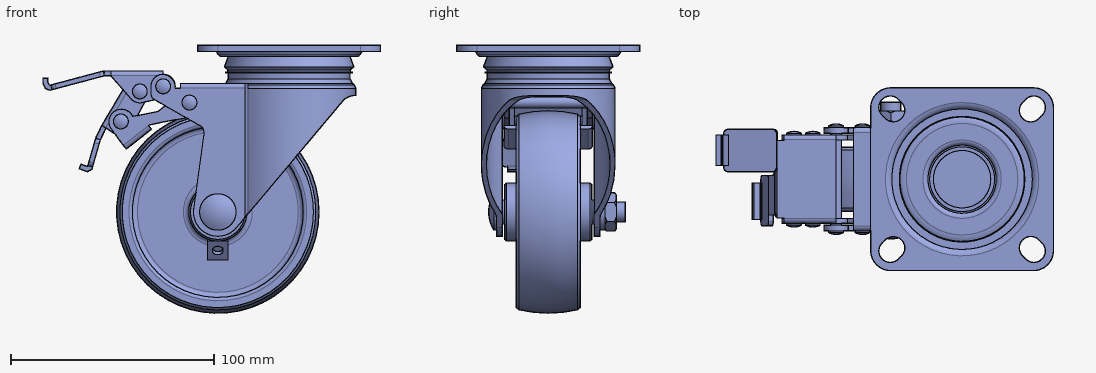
import cadquery as cq
import math


OVERALL_LENGTH = 166.2
AXLE_X = -35.0

PLATE_SIDE = 90.0
PLATE_THICKNESS = 3.2
PLATE_TOP_Z = 82.1
PLATE_CORNER_RADIUS = 10.0
BOLT_SPACING = 69.1
BOLT_SLOT_LENGTH = 13.3
BOLT_SLOT_WIDTH = 11.1
GROOVE_OUTER_RADIUS = 37.7
GROOVE_INNER_RADIUS = 27.5
GROOVE_SIDE_WIDTH = 3.2
GROOVE_LIP_DEPTH = 0.8
GROOVE_WALL_SLOPE = 0.3
GROOVE_DEPTH = 2.3
DISH_RADIUS = 35.9
DISH_EDGE_RADIUS = 35.0
DISH_EDGE_Z = 77.6
DISH_BOTTOM_RADIUS = 33.9
DISH_BOTTOM_Z = 76.5
RACE_TOP_RADIUS = 30.0
RACE_RADIUS = 31.9
RACE_RIM_Z = 71.5
RACE_NECK_Z = 70.0
RACE_BOTTOM_Z = 69.0
RACE_BOTTOM_RADIUS = 30.2
KINGPIN_RADIUS = 14.1
KINGPIN_HOLE_RADIUS = 16.8
KINGPIN_HOLE_ROUND = 2.5
KINGPIN_LIP_RADIUS = 16.0
KINGPIN_LIP_DEPTH = 0.7

FORK_INNER_Y = 22.6
FORK_OUTER_Y = 25.5
DECK_TOP_Z = 63.3
DECK_THICKNESS = 2.3
DECK_FRONT_X = -53.5
SHELL_RADIUS = 32.9
SHELL_START_X = -20.3
ARM_BACK_X = -21.8
SHELL_THICKNESS = 2.5
SHELL_SHOULDER_Z = 60.8
SHELL_RIDGE_RADIUS = 32.2
SHELL_RIDGE_Z = 62.5
SKIRT_DEPTH = 99.7
SHELL_BACK_Z = 57.3
SHELL_BACK_ROUND = (29.4, 56.7)
SHELL_BACK_NOTCH = (27.0, 55.2)
HEAD_BASE_RADIUS = 31.2
HEAD_RADIUS = 30.0
HEAD_STEP_Z = 65.5
SEAL_RADIUS = 31.2
SEAL_THICKNESS = 0.7
ARM_END_RADIUS = 12.0
ARM_SHOULDER = (-41.9, 38.4)
BROW_START = (-44.9, 43.0)
BROW_MIDDLE = (-42.5, 41.2)
TAB_RADIUS = 6.0
TAB_CORNER = ((-65.8, 55.0), (-67.5, 56.5), (-68.0, 58.7))

WHEEL_RADIUS = 49.9
TREAD_EDGE_RADIUS = 48.2
TREAD_EDGE_Y = 14.3
RIM_HALF_WIDTH = 15.8
RIM_OUTER_RADIUS = 47.0
RIM_INNER_RADIUS = 43.7
RIM_WALL_RADIUS = 42.0
WEB_RADIUS = 39.5
WEB_HALF_WIDTH = 7.1
HUB_RADIUS = 14.3
HUB_HALF_LENGTH = 21.5
HUB_CHAMFER = 0.8
HUB_FILLET = 2.7
SLEEVE_RADIUS = 6.0
GREASE_WEDGE_WIDTH = 10.0
GREASE_WEDGE_TIP = 23.6
GREASE_WEDGE_Y = 15.6
GREASE_WEDGE_TIP_Y = 8.3
GREASE_HOLE_RADIUS = 2.7
GREASE_HOLE_DEPTH = 2.5

SHANK_RADIUS = 5.0
SHANK_END_Y = 37.9
BOLT_HEAD_RADIUS = 9.0
BOLT_HEAD_RIM = 1.3
BOLT_HEAD_HEIGHT = 4.0
WASHER_THICKNESS = 2.5
NUT_CORNER_DIAMETER = 19.0
NUT_HEIGHT = 5.7
NUT_CHAMFER = 1.0

LEVER_PIVOT = (-62.0, 61.8)
PEDAL_JOINT = (-73.5, 59.3)
SHOE_JOINT = (-82.8, 44.5)
SHOE_PIVOT = (-49.0, 53.8)
PIN_RADIUS = 2.7
PIN_HEAD_RADIUS = 3.7
PIN_HEAD_RIM = 0.8
PIN_HEAD_HEIGHT = 1.8

SHEET = 2.5
CHANNEL_OUTER_Y = 21.8
CHANNEL_INNER_Y = CHANNEL_OUTER_Y - SHEET
LINK_OUTER_Y = 19.1
BEND_RADIUS = 2.3

LEVER_TOP_Z = 69.5
LEVER_FRONT_X = -91.0
LEVER_BACK_X = -62.0
LEVER_SIDE_FRONT_X = -87.7
LEVER_EAR_RADIUS = 5.7
LOCK_TOE_Y = (3.7, 24.6)
LOCK_HOOK_Y = (6.6, 21.8)
RELEASE_TOE_Y = (-23.0, 1.8)
RELEASE_HOOK_Y = (-20.0, -1.8)
TOE_CORNER_RADIUS = 2.2
LOCK_TOE_END = (-117.0, 61.3)
LOCK_TIP_X = PLATE_SIDE / 2 - OVERALL_LENGTH + SHEET / 2
LOCK_HOOK_PATH = [(-114.7, 62.0), (-117.7, 61.2), (-119.0, 61.7), (LOCK_TIP_X, 63.6), (LOCK_TIP_X, 65.8)]
EAR_UNDERSIDE_ANGLE = -77

FACE_TOP = (-80.8, 59.5)
FACE_BOTTOM = (-91.0, 42.0)
LINK_FOOT = (-84.8, 37.7)
LINK_HEEL = (-78.1, 40.7)
LINK_EAR_RADIUS = 4.7
RELEASE_NECK_Y = (-17.6, 1.8)
RELEASE_NECK_FILLET = 3.3
RELEASE_TOE_START = (-94.0, 35.9)
RELEASE_TOE_END = (-97.9, 22.5)
RELEASE_HOOK_PATH = [(-97.4, 24.3), (-98.0, 21.8), (-99.4, 21.1), (-102.9, 22.5)]

SHOE_EAR_RADIUS = 6.0
SHOE_WEB_FRONT = (-80.1, 30.9)
SHOE_WEB_BACK = (-67.6, 40.7)
SHOE_TREAD_ARC = ((-56.8, 45.2), (-50.0, 46.4))
SHOE_TOP_EDGE = [(-61.0, 52.3), (-64.5, 49.5), (-77.0, 47.0)]


def tangent_point(start, centre, radius, side):
    """Point where the line from start touches a circle; side is +1 or -1."""
    dx = start[0] - centre[0]
    dz = start[1] - centre[1]
    angle = math.atan2(dz, dx) + side * math.acos(radius / math.hypot(dx, dz))
    return on_circle(centre, radius, math.degrees(angle))


def on_circle(centre, radius, degrees):
    angle = math.radians(degrees)
    return (centre[0] + radius * math.cos(angle), centre[1] + radius * math.sin(angle))


def extrude_y(sketch, y_low, y_high):
    """Extrude a closed XZ sketch between two Y positions."""
    return sketch.extrude(-(y_high - y_low)).translate((0, y_low, 0))


def both_sides(sketch, inner_y, outer_y):
    """A pair of mirrored side plates cut to the same XZ outline."""
    plate = extrude_y(sketch, inner_y, outer_y)
    return plate.union(plate.mirror("XZ"))


def rod(centre, radius, y_low, y_high):
    return extrude_y(cq.Workplane("XZ").center(*centre).circle(radius), y_low, y_high)


def strip(path, y_range, thickness=SHEET):
    """Sheet-metal strip with mitred bends that follows an XZ centre line."""
    half = thickness / 2
    headings = [math.atan2(b[1] - a[1], b[0] - a[0]) for a, b in zip(path, path[1:])]
    before = headings[:1] + headings
    after = headings + headings[-1:]
    left = []
    right = []
    for (x, z), first, second in zip(path, before, after):
        heading = (first + second) / 2
        if abs(first - second) > math.pi:
            heading += math.pi
        reach = half / math.cos(heading - first)
        offset_x = -reach * math.sin(heading)
        offset_z = reach * math.cos(heading)
        left.append((x + offset_x, z + offset_z))
        right.append((x - offset_x, z - offset_z))
    return extrude_y(cq.Workplane("XZ").polyline(left + right[::-1]).close(), *y_range)


def round_toe_corners(toe, path_start, path_end):
    """Round the corners of a strip seen square to its face."""
    run = cq.Vector(path_end[0] - path_start[0], 0, path_end[1] - path_start[1])
    normal = run.cross(cq.Vector(0, 1, 0))
    return toe.edges(cq.ParallelDirSelector(normal)).fillet(TOE_CORNER_RADIUS)


def dome_point(radius, rim, height):
    """Radius and height of a point on the cap over a head, half way out from the centre."""
    cap = height - rim
    sphere = (radius**2 + cap**2) / (2 * cap)
    return (radius / 2, height - sphere + math.sqrt(sphere**2 - radius**2 / 4))


def rivet(centre, plate_y):
    """Through pin with a domed head on each outer plate face."""
    dome_radius, dome_height = dome_point(PIN_HEAD_RADIUS, PIN_HEAD_RIM, PIN_HEAD_HEIGHT)
    half_profile = (
        cq.Workplane("XY", origin=(centre[0], 0, centre[1]))
        .lineTo(PIN_RADIUS, 0)
        .lineTo(PIN_RADIUS, plate_y)
        .lineTo(PIN_HEAD_RADIUS, plate_y)
        .lineTo(PIN_HEAD_RADIUS, plate_y + PIN_HEAD_RIM)
        .threePointArc((dome_radius, plate_y + dome_height), (0, plate_y + PIN_HEAD_HEIGHT))
        .close()
    )
    half = half_profile.revolve(360, (0, 0), (0, 1))
    return half.union(half.mirror("XZ"))


def pin_hole(centre):
    return rod(centre, PIN_RADIUS, -FORK_OUTER_Y, FORK_OUTER_Y)


def swivel_plate():
    slab_bottom_z = PLATE_TOP_Z - PLATE_THICKNESS
    slab = (
        cq.Workplane("XY", origin=(0, 0, slab_bottom_z))
        .rect(PLATE_SIDE, PLATE_SIDE)
        .extrude(PLATE_THICKNESS)
        .edges("|Z")
        .fillet(PLATE_CORNER_RADIUS)
    )
    for side_x in (-1, 1):
        for side_y in (-1, 1):
            slot = (
                cq.Workplane("XY", origin=(0, 0, slab_bottom_z))
                .center(side_x * BOLT_SPACING / 2, side_y * BOLT_SPACING / 2)
                .slot2D(BOLT_SLOT_LENGTH, BOLT_SLOT_WIDTH, 45 * side_x * side_y)
                .extrude(PLATE_THICKNESS)
            )
            slab = slab.cut(slot)
    underside = (
        cq.Workplane("XZ")
        .moveTo(0, slab_bottom_z)
        .lineTo(DISH_RADIUS, slab_bottom_z)
        .lineTo(DISH_EDGE_RADIUS, DISH_EDGE_Z)
        .lineTo(DISH_BOTTOM_RADIUS, DISH_BOTTOM_Z)
        .lineTo(RACE_TOP_RADIUS, DISH_BOTTOM_Z)
        .lineTo(RACE_RADIUS, RACE_RIM_Z)
        .lineTo(RACE_BOTTOM_RADIUS, RACE_NECK_Z)
        .lineTo(RACE_BOTTOM_RADIUS, RACE_BOTTOM_Z)
        .lineTo(KINGPIN_RADIUS, RACE_BOTTOM_Z)
        .lineTo(KINGPIN_RADIUS, DECK_TOP_Z - DECK_THICKNESS)
        .lineTo(0, DECK_TOP_Z - DECK_THICKNESS)
        .close()
        .revolve(360, (0, 0), (0, 1))
    )
    return slab.union(underside).cut(pressed_groove()).cut(kingpin_recess())


def pressed_groove():
    """Ring groove with rounded shoulders and a short steep wall on its inner side."""
    floor_z = PLATE_TOP_Z - GROOVE_DEPTH
    wall_top = (GROOVE_INNER_RADIUS + GROOVE_SIDE_WIDTH, PLATE_TOP_Z - GROOVE_LIP_DEPTH)
    inner_bulge = (GROOVE_INNER_RADIUS + GROOVE_SIDE_WIDTH / 2, PLATE_TOP_Z - GROOVE_LIP_DEPTH / 4)
    outer_bulge = (GROOVE_OUTER_RADIUS - GROOVE_SIDE_WIDTH / 2, PLATE_TOP_Z - GROOVE_DEPTH / 4)
    return (
        cq.Workplane("XZ")
        .moveTo(GROOVE_INNER_RADIUS, PLATE_TOP_Z)
        .threePointArc(inner_bulge, wall_top)
        .lineTo(wall_top[0] + GROOVE_WALL_SLOPE, floor_z)
        .lineTo(GROOVE_OUTER_RADIUS - GROOVE_SIDE_WIDTH, floor_z)
        .threePointArc(outer_bulge, (GROOVE_OUTER_RADIUS, PLATE_TOP_Z))
        .close()
        .revolve(360, (0, 0), (0, 1))
    )


def kingpin_recess():
    """Ring gap that leaves the riveted kingpin end standing in a rounded hole."""
    round_bottom_z = PLATE_TOP_Z - KINGPIN_HOLE_ROUND
    floor_z = round_bottom_z - KINGPIN_LIP_DEPTH
    round_centre = (KINGPIN_HOLE_RADIUS + KINGPIN_HOLE_ROUND, round_bottom_z)
    return (
        cq.Workplane("XZ")
        .moveTo(KINGPIN_RADIUS, PLATE_TOP_Z)
        .lineTo(KINGPIN_RADIUS, floor_z)
        .lineTo(KINGPIN_LIP_RADIUS, floor_z)
        .lineTo(KINGPIN_LIP_RADIUS, round_bottom_z)
        .lineTo(KINGPIN_HOLE_RADIUS, round_bottom_z)
        .threePointArc(
            on_circle(round_centre, KINGPIN_HOLE_ROUND, 135),
            on_circle(round_centre, KINGPIN_HOLE_ROUND, 90),
        )
        .close()
        .revolve(360, (0, 0), (0, 1))
    )


def fork_outline():
    """Side outline shared by the flat arms and the curved rear shell."""
    axle = (AXLE_X, 0)
    deck_bottom_z = DECK_TOP_Z - DECK_THICKNESS
    rear_touch = tangent_point(SHELL_BACK_NOTCH, axle, ARM_END_RADIUS, -1)
    front_touch = tangent_point(ARM_SHOULDER, axle, ARM_END_RADIUS, 1)
    tab_end_x = LEVER_PIVOT[0] + math.sqrt(TAB_RADIUS**2 - (LEVER_PIVOT[1] - deck_bottom_z) ** 2)
    return (
        cq.Workplane("XZ")
        .moveTo(DECK_FRONT_X, DECK_TOP_Z)
        .lineTo(SHELL_RADIUS, DECK_TOP_Z)
        .lineTo(SHELL_RADIUS, SHELL_BACK_Z)
        .threePointArc(SHELL_BACK_ROUND, SHELL_BACK_NOTCH)
        .lineTo(*rear_touch)
        .threePointArc(on_circle(axle, ARM_END_RADIUS, -90), front_touch)
        .lineTo(*ARM_SHOULDER)
        .threePointArc(BROW_MIDDLE, BROW_START)
        .lineTo(*TAB_CORNER[0])
        .threePointArc(*TAB_CORNER[1:])
        .lineTo(*on_circle(LEVER_PIVOT, TAB_RADIUS, 180))
        .threePointArc(on_circle(LEVER_PIVOT, TAB_RADIUS, 120), (tab_end_x, deck_bottom_z))
        .lineTo(DECK_FRONT_X, deck_bottom_z)
        .close()
    )


def fork_channel():
    """Flat arms joined by the top deck, with rounded bends along the deck."""
    deck = (
        cq.Workplane("XY", origin=(DECK_FRONT_X, 0, DECK_TOP_Z - DECK_THICKNESS))
        .box(ARM_BACK_X - DECK_FRONT_X, 2 * FORK_OUTER_Y, DECK_THICKNESS, centered=(False, True, False))
    )
    arms = both_sides(fork_outline(), FORK_INNER_Y, FORK_OUTER_Y).cut(half_space(ARM_BACK_X, 1))
    channel = arms.union(deck).edges("|X").edges(">Z").edges("<Y or >Y").fillet(BEND_RADIUS)
    return channel.union(shell_joggle())


def half_space(limit_x, side):
    """Large block on the +X (side = 1) or -X (side = -1) side of a plane."""
    size = 332.4
    return cq.Workplane("XY").box(size, size, size).translate((limit_x + side * size / 2, 0, 0))


def shell_joggle():
    """Narrow slanted band that leads from each flat arm to the shell."""
    shell_y = math.sqrt(SHELL_RADIUS**2 - SHELL_START_X**2)
    band = (
        cq.Workplane("XY")
        .moveTo(ARM_BACK_X, FORK_INNER_Y)
        .lineTo(ARM_BACK_X, FORK_OUTER_Y)
        .lineTo(SHELL_START_X, shell_y)
        .lineTo(SHELL_START_X, FORK_INNER_Y)
        .close()
        .extrude(SKIRT_DEPTH, both=True)
        .intersect(fork_silhouette())
    )
    roof = (
        cq.Workplane("XY", origin=(ARM_BACK_X, 0, DECK_TOP_Z - DECK_THICKNESS))
        .box(SHELL_START_X - ARM_BACK_X, 2 * FORK_OUTER_Y, DECK_THICKNESS, centered=(False, True, False))
    )
    return band.union(band.mirror("XZ")).union(roof)


def fork_silhouette():
    return extrude_y(fork_outline(), -SHELL_RADIUS, SHELL_RADIUS)


def fork_shell():
    """Part cylinder around the swivel axis, open to the front."""
    deck_bottom_z = DECK_TOP_Z - DECK_THICKNESS
    inner_radius = SHELL_RADIUS - SHELL_THICKNESS
    tube = (
        cq.Workplane("XZ")
        .moveTo(0, DECK_TOP_Z)
        .lineTo(HEAD_BASE_RADIUS, DECK_TOP_Z)
        .lineTo(SHELL_RIDGE_RADIUS, SHELL_RIDGE_Z)
        .lineTo(SHELL_RADIUS, SHELL_SHOULDER_Z)
        .lineTo(SHELL_RADIUS, -SKIRT_DEPTH)
        .lineTo(inner_radius, -SKIRT_DEPTH)
        .lineTo(inner_radius, deck_bottom_z)
        .lineTo(0, deck_bottom_z)
        .close()
        .revolve(360, (0, 0), (0, 1))
    )
    return tube.intersect(fork_silhouette()).cut(half_space(SHELL_START_X, -1))


def fork_head():
    """Lower ball race stacked on the deck, topped by the thin seal."""
    seal_bottom_z = RACE_BOTTOM_Z - SEAL_THICKNESS
    return (
        cq.Workplane("XZ")
        .moveTo(0, DECK_TOP_Z - DECK_THICKNESS)
        .lineTo(HEAD_RADIUS, DECK_TOP_Z - DECK_THICKNESS)
        .lineTo(HEAD_BASE_RADIUS, DECK_TOP_Z)
        .lineTo(HEAD_RADIUS, HEAD_STEP_Z)
        .lineTo(HEAD_RADIUS, seal_bottom_z)
        .lineTo(SEAL_RADIUS, seal_bottom_z)
        .lineTo(SEAL_RADIUS, RACE_BOTTOM_Z)
        .lineTo(0, RACE_BOTTOM_Z)
        .close()
        .revolve(360, (0, 0), (0, 1))
    )


def fork_body():
    body = fork_channel().union(fork_shell()).union(fork_head())
    kingpin_bore = (
        cq.Workplane("XY", origin=(0, 0, DECK_TOP_Z - DECK_THICKNESS))
        .circle(KINGPIN_RADIUS)
        .extrude(RACE_BOTTOM_Z - DECK_TOP_Z + DECK_THICKNESS)
    )
    axle_bore = rod((AXLE_X, 0), SHANK_RADIUS, -FORK_OUTER_Y, FORK_OUTER_Y)
    body = body.cut(kingpin_bore).cut(axle_bore)
    for centre in (LEVER_PIVOT, SHOE_PIVOT):
        body = body.union(rivet(centre, FORK_OUTER_Y))
    return body


def wheel_body():
    rim_fillet = RIM_WALL_RADIUS - WEB_RADIUS
    rim_round = RIM_INNER_RADIUS - RIM_WALL_RADIUS
    half = (
        cq.Workplane("XY", origin=(AXLE_X, 0, 0))
        .moveTo(SHANK_RADIUS, 0)
        .lineTo(SHANK_RADIUS, FORK_INNER_Y)
        .lineTo(SLEEVE_RADIUS, FORK_INNER_Y)
        .lineTo(SLEEVE_RADIUS, HUB_HALF_LENGTH)
        .lineTo(HUB_RADIUS - HUB_CHAMFER, HUB_HALF_LENGTH)
        .lineTo(HUB_RADIUS, HUB_HALF_LENGTH - HUB_CHAMFER)
        .lineTo(HUB_RADIUS, WEB_HALF_WIDTH + HUB_FILLET)
        .radiusArc((HUB_RADIUS + HUB_FILLET, WEB_HALF_WIDTH), -HUB_FILLET)
        .lineTo(WEB_RADIUS, WEB_HALF_WIDTH)
        .radiusArc((RIM_WALL_RADIUS, WEB_HALF_WIDTH + rim_fillet), -rim_fillet)
        .lineTo(RIM_WALL_RADIUS, RIM_HALF_WIDTH - rim_round)
        .radiusArc((RIM_INNER_RADIUS, RIM_HALF_WIDTH), rim_round)
        .lineTo(RIM_OUTER_RADIUS, RIM_HALF_WIDTH)
        .lineTo(TREAD_EDGE_RADIUS, TREAD_EDGE_Y)
        .lineTo(TREAD_EDGE_RADIUS, 0)
        .close()
        .revolve(360, (0, 0), (0, 1))
    )
    wheel = half.union(half.mirror("XZ")).union(tread_crown())
    return wheel.union(grease_wedge()).cut(grease_hole())


def tread_crown():
    """Outer band of the tread, slightly domed across its width."""
    return (
        cq.Workplane("XY", origin=(AXLE_X, 0, 0))
        .moveTo(RIM_OUTER_RADIUS, -TREAD_EDGE_Y)
        .lineTo(TREAD_EDGE_RADIUS, -TREAD_EDGE_Y)
        .threePointArc((WHEEL_RADIUS, 0), (TREAD_EDGE_RADIUS, TREAD_EDGE_Y))
        .lineTo(RIM_OUTER_RADIUS, TREAD_EDGE_Y)
        .close()
        .revolve(360, (0, 0), (0, 1))
    )


def grease_wedge():
    """Sloping block between web and hub, below the axle on the -Y side."""
    return (
        cq.Workplane("YZ", origin=(AXLE_X - GREASE_WEDGE_WIDTH / 2, 0, 0))
        .moveTo(-WEB_HALF_WIDTH, -SLEEVE_RADIUS)
        .lineTo(-GREASE_WEDGE_Y, -SLEEVE_RADIUS)
        .lineTo(-GREASE_WEDGE_Y, -HUB_RADIUS)
        .lineTo(-GREASE_WEDGE_TIP_Y, -GREASE_WEDGE_TIP)
        .lineTo(-WEB_HALF_WIDTH, -GREASE_WEDGE_TIP)
        .close()
        .extrude(GREASE_WEDGE_WIDTH)
    )


def grease_hole():
    """Blind hole square to the middle of the sloping face."""
    rise = GREASE_WEDGE_TIP - HUB_RADIUS
    run = GREASE_WEDGE_Y - GREASE_WEDGE_TIP_Y
    face = cq.Plane(
        origin=(AXLE_X, -GREASE_WEDGE_TIP_Y - run / 2, -HUB_RADIUS - rise / 2),
        xDir=(1, 0, 0),
        normal=(0, -rise, -run),
    )
    return cq.Workplane(face).circle(GREASE_HOLE_RADIUS).extrude(-GREASE_HOLE_DEPTH)


def axle_bolt():
    washer_end_y = FORK_OUTER_Y + WASHER_THICKNESS
    dome_radius, dome_height = dome_point(BOLT_HEAD_RADIUS, BOLT_HEAD_RIM, BOLT_HEAD_HEIGHT)
    turned = (
        cq.Workplane("XY", origin=(AXLE_X, 0, 0))
        .moveTo(0, SHANK_END_Y)
        .lineTo(SHANK_RADIUS, SHANK_END_Y)
        .lineTo(SHANK_RADIUS, washer_end_y)
        .lineTo(BOLT_HEAD_RADIUS, washer_end_y)
        .lineTo(BOLT_HEAD_RADIUS, FORK_OUTER_Y)
        .lineTo(SHANK_RADIUS, FORK_OUTER_Y)
        .lineTo(SHANK_RADIUS, -FORK_OUTER_Y)
        .lineTo(BOLT_HEAD_RADIUS, -FORK_OUTER_Y)
        .lineTo(BOLT_HEAD_RADIUS, -FORK_OUTER_Y - BOLT_HEAD_RIM)
        .threePointArc((dome_radius, -FORK_OUTER_Y - dome_height), (0, -FORK_OUTER_Y - BOLT_HEAD_HEIGHT))
        .close()
        .revolve(360, (0, 0), (0, 1))
    )
    hexagon = (
        cq.Workplane("XZ")
        .center(AXLE_X, 0)
        .transformed(rotate=(0, 0, 90))
        .polygon(6, NUT_CORNER_DIAMETER)
    )
    nut = extrude_y(hexagon, washer_end_y, washer_end_y + NUT_HEIGHT)
    rounding = rod((AXLE_X, 0), NUT_CORNER_DIAMETER / 2, washer_end_y, washer_end_y + NUT_HEIGHT)
    return turned.union(nut.intersect(rounding.faces("<Y or >Y").chamfer(NUT_CHAMFER)))


def lock_lever():
    deck_z = LEVER_TOP_Z - SHEET / 2
    lip = strip([(LEVER_FRONT_X, deck_z), (LEVER_SIDE_FRONT_X, deck_z)], (-LINK_OUTER_Y, LINK_OUTER_Y))
    return lever_channel().union(lip).union(lock_toe())


def lever_channel():
    """Deck and side ears of the lock lever, bent from one sheet."""
    deck_z = LEVER_TOP_Z - SHEET / 2
    deck = strip([(LEVER_SIDE_FRONT_X, deck_z), (LEVER_BACK_X, deck_z)], (-CHANNEL_OUTER_Y, CHANNEL_OUTER_Y))
    side_front = (LEVER_SIDE_FRONT_X, LEVER_TOP_Z - SHEET)
    side = (
        cq.Workplane("XZ")
        .moveTo(LEVER_BACK_X, LEVER_TOP_Z)
        .lineTo(LEVER_SIDE_FRONT_X, LEVER_TOP_Z)
        .lineTo(*side_front)
        .lineTo(*tangent_point(side_front, PEDAL_JOINT, LEVER_EAR_RADIUS, 1))
        .threePointArc(
            on_circle(PEDAL_JOINT, LEVER_EAR_RADIUS, -110),
            on_circle(PEDAL_JOINT, LEVER_EAR_RADIUS, EAR_UNDERSIDE_ANGLE),
        )
        .lineTo(*on_circle(LEVER_PIVOT, LEVER_EAR_RADIUS, EAR_UNDERSIDE_ANGLE))
        .threePointArc(
            on_circle(LEVER_PIVOT, LEVER_EAR_RADIUS, 0),
            on_circle(LEVER_PIVOT, LEVER_EAR_RADIUS, 90),
        )
        .close()
    )
    channel = deck.union(both_sides(side, CHANNEL_INNER_Y, CHANNEL_OUTER_Y))
    return channel.edges("|X").edges(">Z").edges("<Y or >Y").fillet(BEND_RADIUS)


def lock_toe():
    """Sloping foot tab with an upturned hook at its end."""
    toe_start = (LEVER_FRONT_X, LEVER_TOP_Z - SHEET / 2)
    toe = strip([toe_start, LOCK_TOE_END], LOCK_TOE_Y)
    toe = round_toe_corners(toe, toe_start, LOCK_TOE_END)
    return toe.union(strip(LOCK_HOOK_PATH, LOCK_HOOK_Y))


def release_lever():
    return release_channel().union(release_toe())


def release_channel():
    """Sloping front face with two side links, bent from one sheet."""
    face_angle = math.degrees(math.atan2(FACE_TOP[1] - FACE_BOTTOM[1], FACE_TOP[0] - FACE_BOTTOM[0]))
    outer_top = on_circle(FACE_TOP, SHEET / 2, face_angle + 90)
    outer_bottom = on_circle(FACE_BOTTOM, SHEET / 2, face_angle + 90)
    side = (
        cq.Workplane("XZ")
        .moveTo(*outer_top)
        .lineTo(*outer_bottom)
        .lineTo(*LINK_FOOT)
        .lineTo(*LINK_HEEL)
        .lineTo(*on_circle(PEDAL_JOINT, LINK_EAR_RADIUS, -30))
        .threePointArc(
            on_circle(PEDAL_JOINT, LINK_EAR_RADIUS, 60),
            on_circle(PEDAL_JOINT, LINK_EAR_RADIUS, 120),
        )
        .close()
    )
    face = strip([FACE_TOP, FACE_BOTTOM], (-LINK_OUTER_Y, LINK_OUTER_Y))
    channel = face.union(both_sides(side, LINK_OUTER_Y - SHEET, LINK_OUTER_Y))
    along_face = cq.Vector(FACE_TOP[0] - FACE_BOTTOM[0], 0, FACE_TOP[1] - FACE_BOTTOM[1])
    bends = cq.ParallelDirSelector(along_face)
    return channel.edges(bends).edges("<X").edges("<Y or >Y").fillet(BEND_RADIUS)


def release_toe():
    """Neck that continues the face, then the foot tab with its hook."""
    neck = strip([FACE_BOTTOM, RELEASE_TOE_START], RELEASE_NECK_Y).union(neck_corner())
    toe = strip([RELEASE_TOE_START, RELEASE_TOE_END], RELEASE_TOE_Y)
    toe = round_toe_corners(toe, RELEASE_TOE_START, RELEASE_TOE_END)
    return neck.union(toe).union(strip(RELEASE_HOOK_PATH, RELEASE_HOOK_Y))


def neck_corner():
    """Concave rounded corner between the wide face and the +Y edge of the neck."""
    neck_run = (RELEASE_TOE_START[0] - FACE_BOTTOM[0], RELEASE_TOE_START[1] - FACE_BOTTOM[1])
    neck_angle = math.degrees(math.atan2(neck_run[1], neck_run[0]))
    corner_end = on_circle(FACE_BOTTOM, RELEASE_NECK_FILLET, neck_angle)
    edge_y = RELEASE_NECK_Y[1]
    block = strip([FACE_BOTTOM, corner_end], (edge_y, edge_y + RELEASE_NECK_FILLET))
    start = on_circle(corner_end, SHEET, neck_angle - 90)
    cutter = cq.Solid.makeCylinder(
        RELEASE_NECK_FILLET,
        2 * SHEET,
        cq.Vector(start[0], edge_y + RELEASE_NECK_FILLET, start[1]),
        cq.Vector(-neck_run[1], 0, neck_run[0]),
    )
    return block.cut(cq.Workplane(cutter))


def brake_pedal():
    pedal = lock_lever().union(release_lever()).union(rivet(PEDAL_JOINT, CHANNEL_OUTER_Y))
    return pedal.cut(pin_hole(LEVER_PIVOT)).cut(pin_hole(SHOE_JOINT))


def brake_shoe():
    body = shoe_channel().union(shoe_pad()).union(rivet(SHOE_JOINT, CHANNEL_OUTER_Y))
    return body.cut(pin_hole(SHOE_PIVOT))


def shoe_web_normal():
    """Angle of the direction from the lower web face into the channel."""
    rise = SHOE_WEB_BACK[1] - SHOE_WEB_FRONT[1]
    run = SHOE_WEB_BACK[0] - SHOE_WEB_FRONT[0]
    return math.degrees(math.atan2(rise, run)) + 90


def shoe_layer(depth, y_half, thickness):
    """Sheet parallel to the web, with its middle at a depth above the lower web face."""
    front = on_circle(SHOE_WEB_FRONT, depth, shoe_web_normal())
    back = on_circle(SHOE_WEB_BACK, depth, shoe_web_normal())
    return strip([front, back], (-y_half, y_half), thickness)


def shoe_channel():
    """Two side links joined by a web that faces the tread."""
    side = (
        cq.Workplane("XZ")
        .moveTo(*SHOE_WEB_FRONT)
        .lineTo(*SHOE_WEB_BACK)
        .lineTo(*on_circle(SHOE_WEB_BACK, SHEET, shoe_web_normal()))
        .threePointArc(*SHOE_TREAD_ARC)
        .lineTo(*on_circle(SHOE_PIVOT, SHOE_EAR_RADIUS, -45))
        .threePointArc(
            on_circle(SHOE_PIVOT, SHOE_EAR_RADIUS, 30),
            on_circle(SHOE_PIVOT, SHOE_EAR_RADIUS, 110),
        )
        .polyline(SHOE_TOP_EDGE, includeCurrent=True)
        .threePointArc(
            on_circle(SHOE_JOINT, SHOE_EAR_RADIUS, 100),
            on_circle(SHOE_JOINT, SHOE_EAR_RADIUS, 210),
        )
        .lineTo(*on_circle(SHOE_WEB_FRONT, 2 * SHEET, shoe_web_normal()))
        .close()
    )
    web = shoe_layer(SHEET / 2, CHANNEL_OUTER_Y, SHEET)
    channel = both_sides(side, CHANNEL_INNER_Y, CHANNEL_OUTER_Y).union(web)
    along_web = cq.Vector(SHOE_WEB_BACK[0] - SHOE_WEB_FRONT[0], 0, SHOE_WEB_BACK[1] - SHOE_WEB_FRONT[1])
    bends = cq.ParallelDirSelector(along_web)
    return channel.edges(bends).edges("<Y or >Y").fillet(BEND_RADIUS)


def shoe_pad():
    """Stiffening pad on the inner face of the web, as wide as the wheel."""
    return shoe_layer(SHEET + SHEET / 2, RIM_HALF_WIDTH, SHEET)


plate = swivel_plate()
fork = fork_body()
wheel = wheel_body()
axle = axle_bolt()
pedal = brake_pedal()
shoe = brake_shoe()

result = cq.Compound.makeCompound(
    [plate.val(), fork.val(), wheel.val(), axle.val(), pedal.val(), shoe.val()]
)